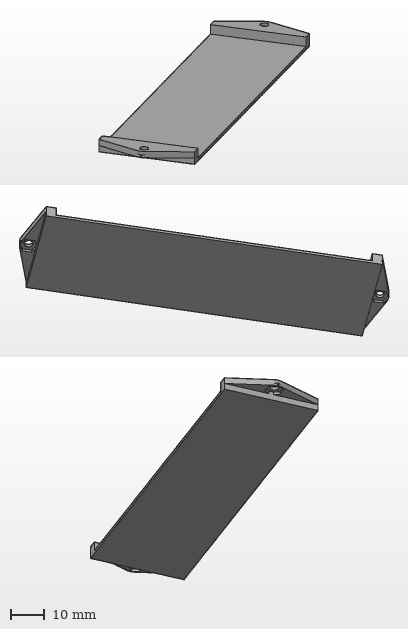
import cadquery as cq
import math

length = 111.0
width = 30.0
height = 4.0

floor_thickness = 1.0
wall_thickness = 3.0
tab_reach = 5.0
tray_length = length - 2 * tab_reach

tab_thickness = 2.0
tip_radius = 3.8
hole_diameter = 2.5
hole_to_tip = 2.7

nut_across_flats = 4.8
nut_across_corners = nut_across_flats / math.cos(math.pi / 6)
nut_pocket_depth = 0.9

half_width = width / 2
half_tray = tray_length / 2
half_length = length / 2

tip_center_y = half_length - tip_radius
corner_to_center_y = tip_center_y - half_tray
corner_distance = math.hypot(half_width, corner_to_center_y)
slope_angle = math.asin(tip_radius / corner_distance) + math.atan2(corner_to_center_y, half_width)
tangent_x = tip_radius * math.sin(slope_angle)
tangent_y = tip_center_y + tip_radius * math.cos(slope_angle)


def make_tray():
    """Floor and end walls, from a side profile extruded across the width."""
    half_floor = half_tray - wall_thickness
    profile = [
        (-half_tray, 0),
        (half_tray, 0),
        (half_tray, height),
        (half_floor, height),
        (half_floor, floor_thickness),
        (-half_floor, floor_thickness),
        (-half_floor, height),
        (-half_tray, height),
    ]
    return cq.Workplane("YZ").polyline(profile).close().extrude(half_width, both=True)


def make_nut_pocket():
    """Hexagonal prism around the +Y hole, with two corners along Y."""
    return (
        cq.Workplane("XY", origin=(0, half_length - hole_to_tip, height - tab_thickness))
        .transformed(rotate=(0, 0, 90))
        .polygon(6, nut_across_corners)
        .extrude(nut_pocket_depth)
    )


def make_tab():
    """Tab on the +Y end with a rounded tip, through hole and nut pocket, overlapping the wall."""
    wall_inner_y = half_tray - wall_thickness
    blank = (
        cq.Workplane("XY", origin=(0, 0, height - tab_thickness))
        .moveTo(-half_width, wall_inner_y)
        .lineTo(half_width, wall_inner_y)
        .lineTo(half_width, half_tray)
        .lineTo(tangent_x, tangent_y)
        .threePointArc((0, half_length), (-tangent_x, tangent_y))
        .lineTo(-half_width, half_tray)
        .close()
        .extrude(tab_thickness)
    )
    hole = (
        cq.Workplane("XY")
        .center(0, half_length - hole_to_tip)
        .circle(hole_diameter / 2)
        .extrude(height)
    )
    return blank.cut(hole).cut(make_nut_pocket())


tab = make_tab()
result = make_tray().union(tab).union(tab.mirror("XZ"))